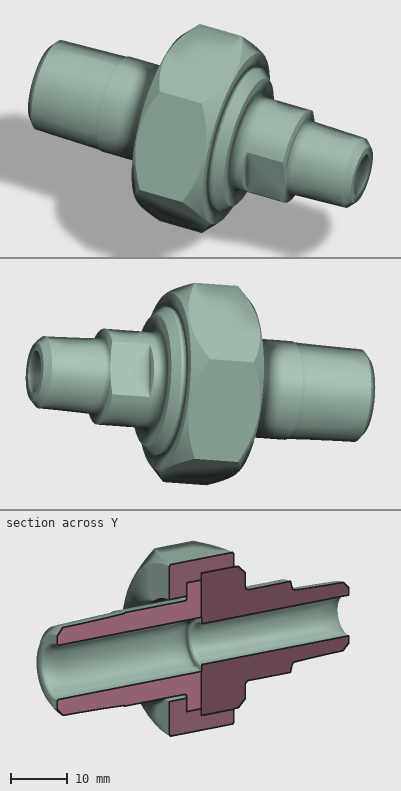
import cadquery as cq
import math


TOTAL_LENGTH = 61.0
NUT_START = 23.4
NUT_LENGTH = 13.55
NUT_END = NUT_START + NUT_LENGTH
NUT_LIP = 3.65
FLANGE_START = NUT_START + NUT_LIP
FLANGE_LENGTH = 3.05
JOINT = FLANGE_START + FLANGE_LENGTH

TAIL_DIAMETER = 17.5
ROOT_DIAMETER = 18.5
TAIL_TAPER_END = 13.95
TAIL_TAPER_LARGE_DIAMETER = 17.2
TAIL_TAPER_SMALL_DIAMETER = 16.5
TAIL_CHAMFER = 1.15
TAIL_FACE_DIAMETER = 13.8
TAIL_BORE = 10.0
TAIL_BORE_CHAMFER = 0.25
FLANGE_DIAMETER = 24.1

NUT_ACROSS_FLATS = 32.0
NUT_ACROSS_CORNERS = NUT_ACROSS_FLATS / math.cos(math.pi / 6)
NUT_FACE_DIAMETER = 31.4
NUT_CHAMFER_LENGTH = 2.75
NUT_BORE = 18.9
ROOT_FILLET = (ROOT_DIAMETER - TAIL_DIAMETER) / 2

THREAD_DIAMETER = 26.4
THREAD_END_DIAMETER = 23.5
THREAD_CHAMFER = (THREAD_DIAMETER - THREAD_END_DIAMETER) / 2
COLLAR_END = 39.35
NECK_DIAMETER = 17.0
NECK_FILLET = 0.8
SHOULDER_START = 48.8
SHOULDER_ANGLE = 15.0
SHOULDER_FILLET = 0.5
SPIGOT_LARGE_DIAMETER = 13.5
SPIGOT_SMALL_DIAMETER = 12.8
SPIGOT_FACE_DIAMETER = 10.4
SPIGOT_CHAMFER = 1.2
BODY_BORE = 7.5
BODY_BORE_CHAMFER = 0.25
FLATS_WIDTH = 14.0
FLATS_START = 41.9
CUT_MARGIN = 0.6

LEAN = math.tan(math.radians(SHOULDER_ANGLE))


def revolve_about_x(profile):
    return profile.close().revolve(360, (0, 0, 0), (1, 0, 0))


def make_tailpiece():
    bore_radius = TAIL_BORE / 2
    tail_radius = TAIL_DIAMETER / 2
    profile = (
        cq.Workplane("XY")
        .moveTo(0, bore_radius + TAIL_BORE_CHAMFER)
        .lineTo(0, TAIL_FACE_DIAMETER / 2)
        .lineTo(TAIL_CHAMFER, TAIL_TAPER_SMALL_DIAMETER / 2)
        .lineTo(TAIL_TAPER_END, TAIL_TAPER_LARGE_DIAMETER / 2)
        .lineTo(TAIL_TAPER_END, tail_radius)
        .lineTo(FLANGE_START - ROOT_FILLET, tail_radius)
        .radiusArc((FLANGE_START, tail_radius + ROOT_FILLET), -ROOT_FILLET)
        .lineTo(FLANGE_START, FLANGE_DIAMETER / 2)
        .lineTo(JOINT, FLANGE_DIAMETER / 2)
        .lineTo(JOINT, bore_radius)
        .lineTo(TAIL_BORE_CHAMFER, bore_radius)
    )
    return revolve_about_x(profile)


def make_nut():
    hexagon = (
        cq.Workplane("YZ", origin=(NUT_START, 0, 0))
        .polygon(6, NUT_ACROSS_CORNERS)
        .extrude(NUT_LENGTH)
    )
    corner_radius = NUT_ACROSS_CORNERS / 2
    face_radius = NUT_FACE_DIAMETER / 2
    blank = revolve_about_x(
        cq.Workplane("XY")
        .moveTo(NUT_START, 0)
        .lineTo(NUT_START, face_radius)
        .lineTo(NUT_START + NUT_CHAMFER_LENGTH, corner_radius)
        .lineTo(NUT_END - NUT_CHAMFER_LENGTH, corner_radius)
        .lineTo(NUT_END, face_radius)
        .lineTo(NUT_END, 0)
    )
    hole = revolve_about_x(
        cq.Workplane("XY")
        .moveTo(NUT_START, 0)
        .lineTo(NUT_START, NUT_BORE / 2)
        .lineTo(FLANGE_START, NUT_BORE / 2)
        .lineTo(FLANGE_START, FLANGE_DIAMETER / 2)
        .lineTo(JOINT, FLANGE_DIAMETER / 2)
        .lineTo(JOINT, THREAD_DIAMETER / 2)
        .lineTo(NUT_END, THREAD_DIAMETER / 2)
        .lineTo(NUT_END, 0)
    )
    return hexagon.intersect(blank).cut(hole)


def make_body_blank():
    bore_radius = BODY_BORE / 2
    neck_radius = NECK_DIAMETER / 2
    spigot_radius = SPIGOT_LARGE_DIAMETER / 2

    lean_angle = math.radians(SHOULDER_ANGLE)
    shoulder_foot = SHOULDER_START + (neck_radius - spigot_radius) * LEAN
    tangent_length = SHOULDER_FILLET * math.tan((math.pi / 2 - lean_angle) / 2)
    fillet_start = (
        shoulder_foot - tangent_length * math.sin(lean_angle),
        spigot_radius + tangent_length * math.cos(lean_angle),
    )
    fillet_end = (shoulder_foot + tangent_length, spigot_radius)

    profile = (
        cq.Workplane("XY")
        .moveTo(JOINT, bore_radius + BODY_BORE_CHAMFER)
        .lineTo(JOINT, THREAD_DIAMETER / 2)
        .lineTo(COLLAR_END - THREAD_CHAMFER, THREAD_DIAMETER / 2)
        .lineTo(COLLAR_END, THREAD_END_DIAMETER / 2)
        .lineTo(COLLAR_END, neck_radius + NECK_FILLET)
        .radiusArc((COLLAR_END + NECK_FILLET, neck_radius), -NECK_FILLET)
        .lineTo(SHOULDER_START, neck_radius)
        .lineTo(*fillet_start)
        .radiusArc(fillet_end, -SHOULDER_FILLET)
        .lineTo(TOTAL_LENGTH - SPIGOT_CHAMFER, SPIGOT_SMALL_DIAMETER / 2)
        .lineTo(TOTAL_LENGTH, SPIGOT_FACE_DIAMETER / 2)
        .lineTo(TOTAL_LENGTH, bore_radius)
        .lineTo(JOINT + BODY_BORE_CHAMFER, bore_radius)
    )
    return revolve_about_x(profile)


def make_flat_cutter(side):
    """Wedge-ended block that mills the wrench flat on the +Y (side=1) or -Y (side=-1) side."""
    flat = FLATS_WIDTH / 2
    outside = NECK_DIAMETER / 2 + CUT_MARGIN
    return (
        cq.Workplane("XY")
        .moveTo(FLATS_START, side * flat)
        .lineTo(FLATS_START - (outside - flat) * LEAN, side * outside)
        .lineTo(TOTAL_LENGTH, side * outside)
        .lineTo(TOTAL_LENGTH, side * flat)
        .close()
        .extrude(NECK_DIAMETER, both=True)
    )


def make_body():
    body = make_body_blank()
    for side in (1, -1):
        body = body.cut(make_flat_cutter(side))
    return body


tailpiece = make_tailpiece()
nut = make_nut()
body = make_body()

result = cq.Compound.makeCompound([tailpiece.val(), nut.val(), body.val()])